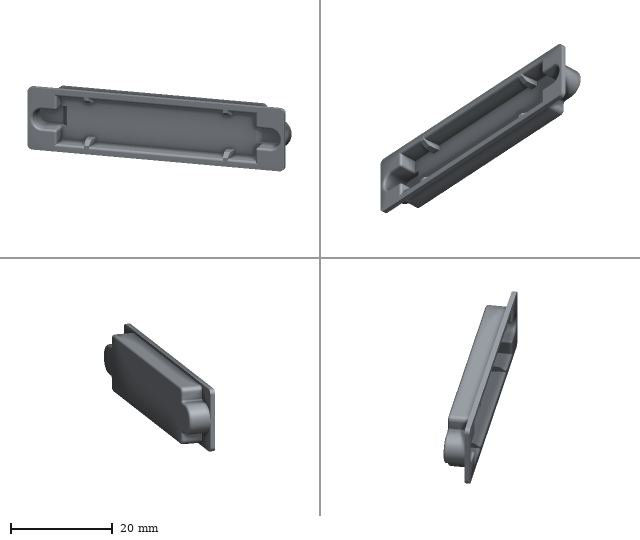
import cadquery as cq

length = 53.0
depth = 5.3
height = 12.7

wall = 1.0
rear_skin = 0.5
edge_radius = 0.5
corner_radius = 1.0

shell_length = 43.1
shell_height = 11.65
lobe_radius = 3.0
lobe_center = length / 2 - lobe_radius
lobe_blend = 0.4

margin = 0.05

pocket_length = shell_length - 2 * wall
pocket_height = 9.75
pocket_depth = 3.8
slot_radius = lobe_radius - wall
slot_depth = depth - rear_skin
ramp_length = slot_depth - pocket_depth

rib_position = 14.3
rib_front_width = 0.95
rib_floor_width = 1.65
rib_front_level = 4.6
rib_top_level = 3.75
rib_slope_depth = 1.45


def block(x_size, z_size, y_start, y_end):
    """Box centred on the Y axis, from y_start to y_end."""
    middle = (y_start + y_end) / 2
    return cq.Workplane("XY").box(x_size, y_end - y_start, z_size).translate((0, middle, 0))


def round_bar(radius, y_start, y_end):
    """Full-length bar with semicircular ends, centred on the lobe centres."""
    profile = cq.Workplane("XZ", origin=(0, y_start, 0)).slot2D(2 * (lobe_center + radius), 2 * radius)
    return profile.extrude(y_start - y_end)


def make_shell():
    """Flange plus the lobed shell, with its rear rim rounded."""
    flange = block(length, height, 0, wall).edges("|Y").fillet(corner_radius)
    box = block(shell_length, shell_height, wall, depth).edges("|Y").fillet(corner_radius)
    shell = box.union(round_bar(lobe_radius, wall, depth))
    inner_corners = cq.selectors.BoxSelector(
        (-shell_length / 2 - margin, 0, -lobe_radius - margin),
        (shell_length / 2 + margin, depth, lobe_radius + margin),
    )
    shell = shell.edges("|Y").edges(inner_corners).fillet(lobe_blend)
    shell = shell.faces(">Y").edges().fillet(edge_radius)
    return flange.union(shell)


def make_cavity():
    """Pocket and end slots, all down to the pocket floor."""
    pocket = block(pocket_length, pocket_height, 0, pocket_depth)
    return pocket.union(round_bar(slot_radius, 0, pocket_depth))


def make_deep_slot(side):
    """End slot below the pocket floor, ramping up to it inside the pocket."""
    ramp_foot = pocket_length / 2
    ramp_top = ramp_foot - ramp_length
    profile = [
        (side * ramp_top, pocket_depth),
        (side * ramp_foot, slot_depth),
        (side * length / 2, slot_depth),
        (side * length / 2, pocket_depth),
    ]
    wedge = cq.Workplane("XY").polyline(profile).close().extrude(slot_radius, both=True)
    return wedge.intersect(round_bar(slot_radius, pocket_depth, slot_depth))


def make_rib(x_side, z_side):
    """Rib that widens towards the floor and slopes down to the front face."""
    plan = [
        (-rib_front_width / 2, 0),
        (rib_front_width / 2, 0),
        (rib_floor_width / 2, pocket_depth),
        (-rib_floor_width / 2, pocket_depth),
    ]
    root_level = (pocket_height + wall) / 2
    profile = [
        (0, root_level),
        (0, rib_front_level),
        (rib_slope_depth, rib_top_level),
        (pocket_depth, rib_top_level),
        (pocket_depth, root_level),
    ]
    tapered = cq.Workplane("XY").polyline(plan).close().extrude(root_level)
    side_shape = cq.Workplane("YZ").polyline(profile).close().extrude(rib_floor_width, both=True)
    rib = tapered.intersect(side_shape).translate((x_side * rib_position, 0, 0))
    return rib if z_side > 0 else rib.mirror("XY")


def round_cavity_edges(body):
    """Round the cavity mouth and the corners where the slots meet the pocket."""
    mouth_zone = cq.selectors.BoxSelector(
        (-lobe_center - slot_radius - margin, -margin, -pocket_height / 2 - margin),
        (lobe_center + slot_radius + margin, margin, pocket_height / 2 + margin),
    )
    corner_zone = cq.selectors.BoxSelector(
        (-pocket_length / 2 - margin, 0, -slot_radius - margin),
        (pocket_length / 2 + margin, pocket_depth, slot_radius + margin),
    )
    mouth = body.faces("<Y").edges(mouth_zone)
    corners = body.edges("|Y").edges(corner_zone)
    return mouth.add(corners).fillet(edge_radius)


result = round_cavity_edges(make_shell().cut(make_cavity()))

for side in (-1, 1):
    result = result.cut(make_deep_slot(side))
    for z_side in (-1, 1):
        result = result.union(make_rib(side, z_side))